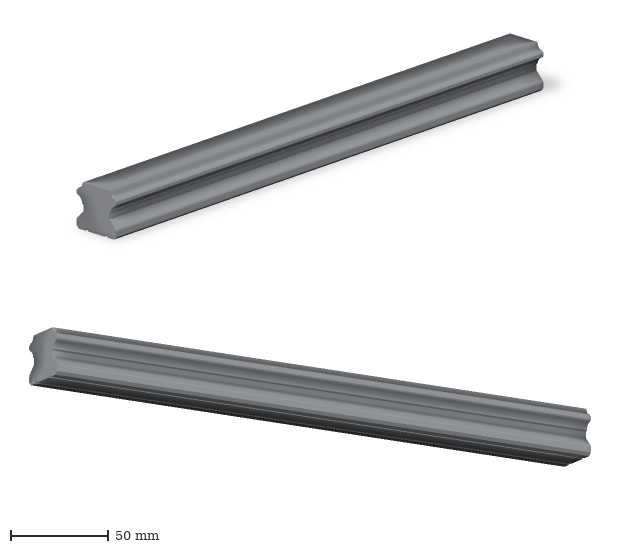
import cadquery as cq

length = 320.0
width = 28.0
height = 26.0
half_width = width / 2

top_half_width = 9.5
top_bevel_width = 0.48
top_bevel_height = 1.3
shoulder_half_width = 12.5
shoulder_height = 22.5
shoulder_radius = 2.5
head_flank_top = 20.8
head_flank_bottom = 19.2
head_bevel_width = 0.48
head_bevel_height = 0.5

hollow_half_width = 12.0
hollow_height = 17.5
hollow_radius = 4.5
neck_half_width = 9.3
neck_top = 13.8
neck_bottom = 10.2
neck_bevel_width = 0.8
neck_bevel_height = 0.5

foot_flank_top = 4.8
foot_bevel_width = 0.3
foot_bevel_height = 0.8
foot_chamfer = 1.5

groove_offset = 6.7
groove_width = 2.2
groove_depth = 1.0


def half_profile():
    """Closed outline of the +X half of the rail section, drawn in the XZ plane."""
    head_bevelled_half_width = half_width - head_bevel_width
    return (
        cq.Workplane("XZ")
        .lineTo(groove_offset - groove_width / 2, 0)
        .sagittaArc((groove_offset + groove_width / 2, 0), groove_depth)
        .lineTo(half_width - foot_chamfer, 0)
        .lineTo(half_width, foot_chamfer)
        .lineTo(half_width, foot_flank_top)
        .lineTo(half_width - foot_bevel_width, foot_flank_top + foot_bevel_height)
        .lineTo(neck_half_width, neck_bottom)
        .lineTo(neck_half_width, neck_top)
        .lineTo(neck_half_width + neck_bevel_width, neck_top + neck_bevel_height)
        .radiusArc((hollow_half_width, hollow_height), hollow_radius)
        .lineTo(head_bevelled_half_width, head_flank_bottom - head_bevel_height)
        .lineTo(half_width, head_flank_bottom)
        .lineTo(half_width, head_flank_top)
        .lineTo(head_bevelled_half_width, head_flank_top + head_bevel_height)
        .lineTo(shoulder_half_width, shoulder_height)
        .radiusArc((top_half_width + top_bevel_width, height - top_bevel_height), shoulder_radius)
        .lineTo(top_half_width, height)
        .lineTo(0, height)
        .close()
    )


half_rail = half_profile().extrude(length / 2, both=True)
result = half_rail.union(half_rail.mirror("YZ")).clean()